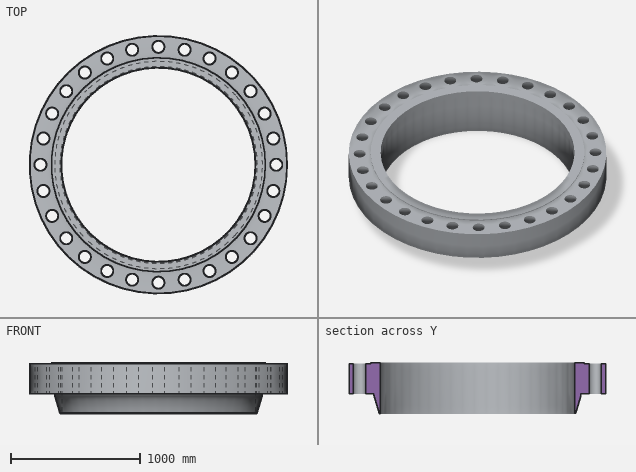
import cadquery as cq

flange_diameter = 1994.0
bore_diameter = 1500.0
flange_thickness = 235.0

raised_face_diameter = 1655.0
raised_face_height = 5.0

total_height = 395.0
neck_root_diameter = 1607.0
neck_end_diameter = 1527.0
neck_root_length = 12.0
weld_bevel_height = 8.0
weld_bevel_width = 5.0

bolt_circle_diameter = 1825.0
bolt_hole_diameter = 92.0
bolt_count = 28

flange_top = total_height - raised_face_height
flange_bottom = flange_top - flange_thickness
taper_top = flange_bottom - neck_root_length


def make_ring_body():
    """Revolve the half section of the flange, raised face and neck about Z."""
    section = [
        (bore_diameter / 2, 0),
        (neck_end_diameter / 2 - weld_bevel_width, 0),
        (neck_end_diameter / 2, weld_bevel_height),
        (neck_root_diameter / 2, taper_top),
        (neck_root_diameter / 2, flange_bottom),
        (flange_diameter / 2, flange_bottom),
        (flange_diameter / 2, flange_top),
        (raised_face_diameter / 2, flange_top),
        (raised_face_diameter / 2, total_height),
        (bore_diameter / 2, total_height),
    ]
    return cq.Workplane("XZ").polyline(section).close().revolve(360, (0, 0, 0), (0, 1, 0))


def make_bolt_holes():
    """Cylinders on the bolt circle, the first one on the +X axis."""
    return (
        cq.Workplane("XY")
        .workplane(offset=flange_bottom)
        .polarArray(bolt_circle_diameter / 2, 0, 360, bolt_count)
        .circle(bolt_hole_diameter / 2)
        .extrude(flange_thickness)
    )


result = make_ring_body().cut(make_bolt_holes())